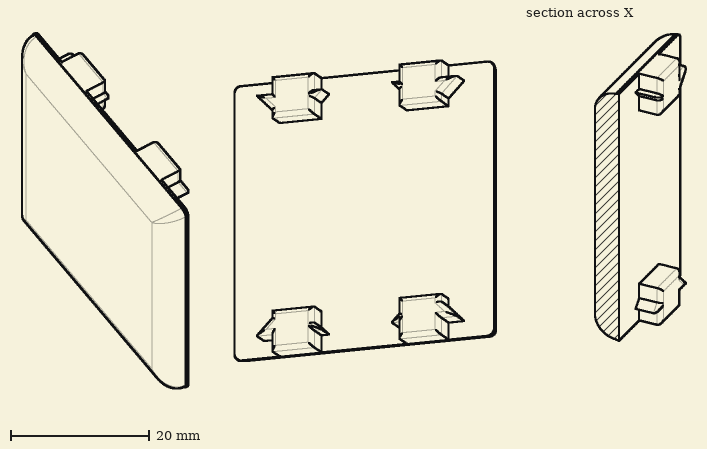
import cadquery as cq

width = 40.2
height = 41.1
depth = 7.52

lip_thickness = 0.4
lip_overhang = 0.1
corner_radius = 1.0

dome_radius = 3.55
plate_thickness = lip_thickness + dome_radius

foot_height = depth - plate_thickness
foot_edge_radius = 0.7
stem_inner_x = 6.6
stem_outer_x = 13.05
outer_barb = 2.42
inner_barb = 1.2
stem_length = 2.55
foot_length = 6.12

front_y = -depth / 2
dome_back_y = front_y + dome_radius
plate_back_y = front_y + plate_thickness


def make_lip():
    """Flat plate with rounded corners behind the dome."""
    lip = cq.Workplane("XY").box(width, lip_thickness, height).edges("|Y").fillet(corner_radius)
    return lip.translate((0, dome_back_y + lip_thickness / 2, 0))


def arched_bar(plane, span, length):
    """Bar whose two front long edges are quarter rounds."""
    half = span / 2
    flat_half = half - dome_radius
    diagonal = dome_radius * 0.5 ** 0.5
    return (
        cq.Workplane(plane)
        .moveTo(-half, dome_back_y)
        .threePointArc((-flat_half - diagonal, dome_back_y - diagonal), (-flat_half, front_y))
        .lineTo(flat_half, front_y)
        .threePointArc((flat_half + diagonal, dome_back_y - diagonal), (half, dome_back_y))
        .close()
        .extrude(length / 2, both=True)
    )


def make_dome():
    """Mitred dome from two crossing bars, with its mitre edges softened."""
    dome_width = width - 2 * lip_overhang
    dome_height = height - 2 * lip_overhang
    across_x = arched_bar("XY", dome_width, dome_height)
    across_z = arched_bar(cq.Plane((0, 0, 0), xDir=(0, 0, -1), normal=(1, 0, 0)), dome_height, dome_width)
    dome = across_x.intersect(across_z)
    mitres = dome.edges("not %LINE")
    return mitres.fillet(corner_radius)


def make_foot():
    """Upper right foot: a stem at the plate edge and a barbed head pointing inward."""
    top_z = height / 2
    barb_z = top_z - stem_length
    tip_z = top_z - foot_length
    outline = [
        (stem_inner_x, top_z),
        (stem_outer_x, top_z),
        (stem_outer_x, barb_z),
        (stem_outer_x + outer_barb, barb_z),
        (stem_outer_x, barb_z - outer_barb),
        (stem_outer_x, tip_z),
        (stem_inner_x, tip_z),
        (stem_inner_x, barb_z - inner_barb),
        (stem_inner_x - inner_barb, barb_z),
        (stem_inner_x, barb_z),
    ]
    foot = cq.Workplane("XZ", origin=(0, plate_back_y, 0)).polyline(outline).close().extrude(-foot_height)
    return foot.faces(">Y").edges().fillet(foot_edge_radius)


result = make_lip().union(make_dome())
right_foot = make_foot()
for side_foot in (right_foot, right_foot.mirror("YZ")):
    result = result.union(side_foot).union(side_foot.mirror("XY"))